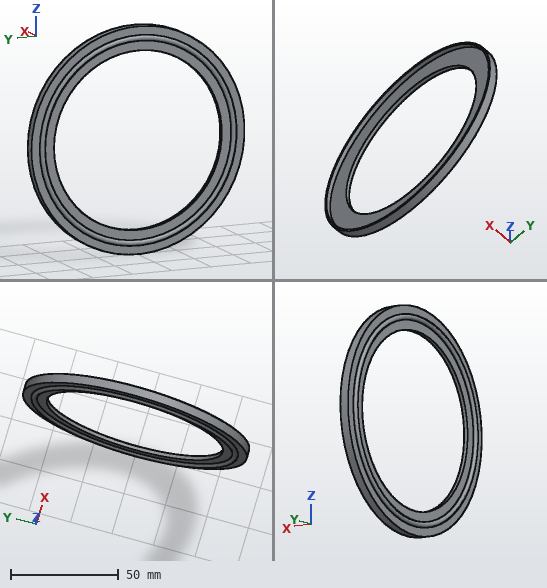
import cadquery as cq

outer_diameter = 108.0
bore_diameter = 85.0
rim_thickness = 4.4
web_thickness = 2.0

lip_width = 1.0
recess_diameter = outer_diameter - 2 * lip_width
recess_depth = rim_thickness - web_thickness

bead_width = 2.7
bead_height = 1.4
bead_side_height = 0.3
bead_center_radius = 48.5


def gasket_ring():
    ring = (
        cq.Workplane("YZ")
        .circle(outer_diameter / 2)
        .circle(bore_diameter / 2)
        .extrude(rim_thickness)
    )
    recess = (
        cq.Workplane("YZ", origin=(web_thickness, 0, 0))
        .circle(recess_diameter / 2)
        .extrude(recess_depth)
    )
    return ring.cut(recess)


def sealing_bead():
    """Crowned section revolved about the X axis, its flat base on the ring face."""
    inner_side = bead_center_radius - bead_width / 2
    outer_side = bead_center_radius + bead_width / 2
    return (
        cq.Workplane("XY")
        .moveTo(0, inner_side)
        .lineTo(-bead_side_height, inner_side)
        .threePointArc((-bead_height, bead_center_radius), (-bead_side_height, outer_side))
        .lineTo(0, outer_side)
        .close()
        .revolve(360, (0, 0, 0), (1, 0, 0))
    )


result = gasket_ring().union(sealing_bead())